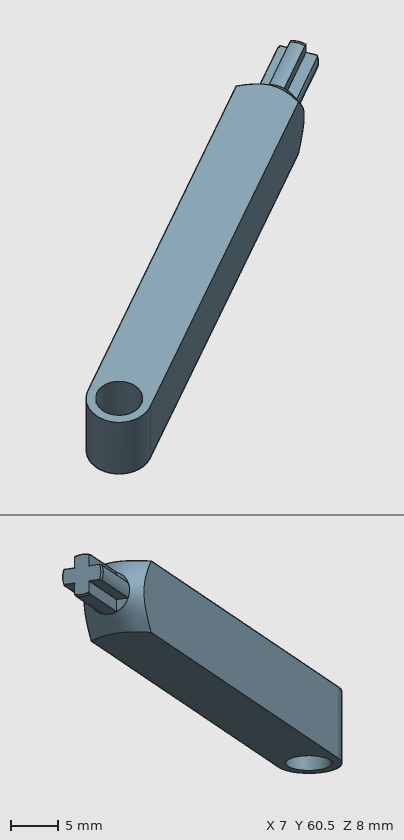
import cadquery as cq

body_width = 7.0
body_height = 8.0
total_length = 60.5
eye_diameter = 4.95

shank_radius = 2.35
shank_length = 6.95
arm_width = 1.7
tip_chamfer_length = 0.35
tip_chamfer_depth = 0.1

eye_radius = body_width / 2
tip_y = total_length - eye_radius
shoulder_y = tip_y - shank_length


def make_body():
    """Bar with a full-round end and a vertical through hole."""
    return (
        cq.Workplane("XY", origin=(0, 0, -body_height / 2))
        .moveTo(eye_radius, 0)
        .lineTo(eye_radius, shoulder_y)
        .lineTo(-eye_radius, shoulder_y)
        .lineTo(-eye_radius, 0)
        .threePointArc((0, -eye_radius), (eye_radius, 0))
        .close()
        .moveTo(0, 0)
        .circle(eye_diameter / 2)
        .extrude(body_height)
    )


def make_shoulder_envelope():
    """Solid of revolution whose 45 degree cone trims the bar down to the shank."""
    outer_radius = body_width / 2 + body_height / 2
    cone_length = outer_radius - shank_radius
    return (
        cq.Workplane("XY")
        .moveTo(0, -eye_radius)
        .lineTo(outer_radius, -eye_radius)
        .lineTo(outer_radius, shoulder_y - cone_length)
        .lineTo(shank_radius, shoulder_y)
        .lineTo(0, shoulder_y)
        .close()
        .revolve(360, (0, 0, 0), (0, 1, 0))
    )


def make_shank():
    """Chamfered round pin reduced to two crossing arms."""
    pin = (
        cq.Workplane("XY")
        .moveTo(0, shoulder_y)
        .lineTo(shank_radius, shoulder_y)
        .lineTo(shank_radius, tip_y - tip_chamfer_length)
        .lineTo(shank_radius - tip_chamfer_depth, tip_y)
        .lineTo(0, tip_y)
        .close()
        .revolve(360, (0, 0, 0), (0, 1, 0))
    )
    arm_span = 2 * shank_radius
    shank_middle = (0, shoulder_y + shank_length / 2, 0)
    flat_arm = cq.Workplane("XY").box(arm_span, shank_length, arm_width).translate(shank_middle)
    upright_arm = cq.Workplane("XY").box(arm_width, shank_length, arm_span).translate(shank_middle)
    return pin.intersect(flat_arm.union(upright_arm))


result = make_body().intersect(make_shoulder_envelope()).union(make_shank())